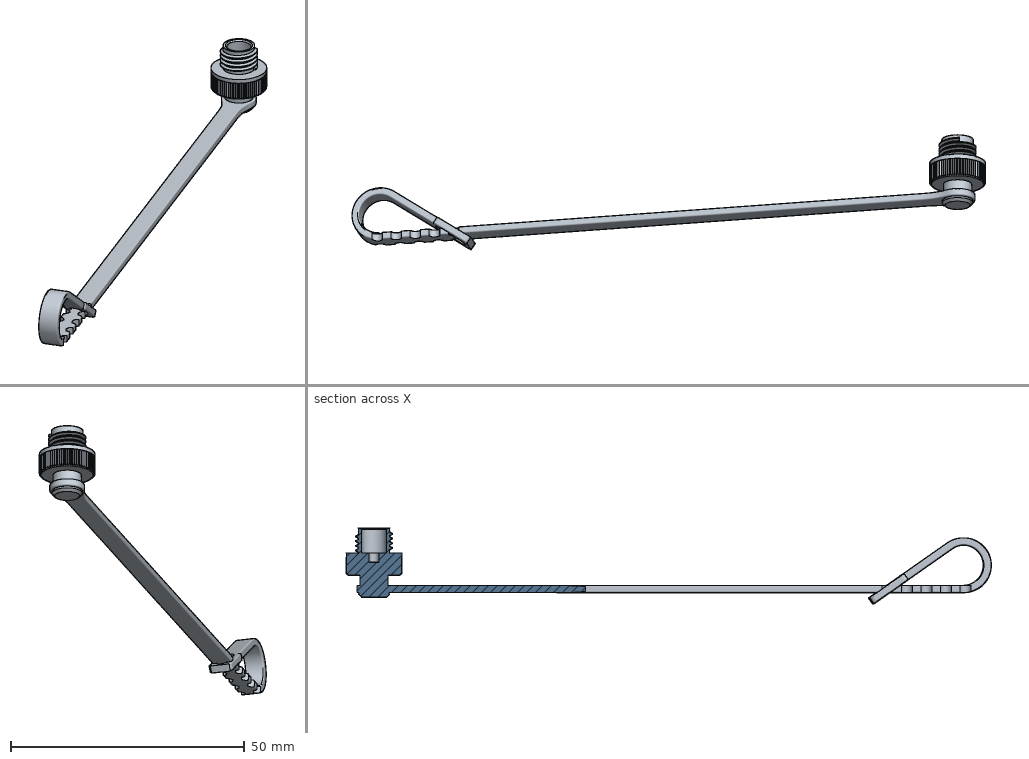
import cadquery as cq
import math

strap_thickness = 1.6
plug_top = 13.86
flange_top = 8.55
flange_bottom = 3.75
button_bottom = -1.0

flange_radius = 6.0
flange_rim_height = 0.95
flange_chamfer = 0.4
knurl_count = 72
knurl_depth = 0.25

thread_radius = 4.0
thread_root_radius = 3.4
thread_pitch = 1.0
thread_crest_width = 0.15
thread_root_width = 0.9
thread_embed = 0.1
thread_start = 0.3
thread_lead_in = 0.95

bore_radius = 2.6
bore_chamfer = 0.3
bore_floor = flange_top
pilot_radius = 1.0
pilot_depth = 2.0

neck_radius = 3.05
button_radius = 3.3
button_chamfer = 0.6

strap_width = 4.3
strap_angle = 2.795
strap_edge_radius = 0.3
ring_radius = 3.75
ring_blend_radius = 12.0
strap_reach = 132.46
loop_outer_radius = 5.9
loop_inner_radius = loop_outer_radius - strap_thickness
loop_center_y = loop_outer_radius - strap_reach
tail_slope = 35.0
tail_length = 20.7

notch_radius = 1.15
notch_count = 5
notch_pitch = 4.2
first_notch_y = -110.1
notch_half_height = strap_thickness

head_width = 5.2
head_length = 9.3
head_corner_radius = 1.0
slot_width = 2.2
slot_length = 8.0
slot_tip_margin = 1.0


def cylinder(radius, bottom, top):
    return cq.Workplane("XY").workplane(offset=bottom).circle(radius).extrude(top - bottom)


def knurled_flange():
    knurl_top = flange_top - flange_rim_height
    outline = []
    for i in range(2 * knurl_count):
        angle = math.pi * i / knurl_count
        radius = flange_radius - knurl_depth * (i % 2)
        outline.append((radius * math.cos(angle), radius * math.sin(angle)))
    knurl = (
        cq.Workplane("XY")
        .workplane(offset=flange_bottom)
        .polyline(outline)
        .close()
        .extrude(knurl_top - flange_bottom)
    )
    envelope = cylinder(flange_radius, flange_bottom, knurl_top).faces("<Z").chamfer(flange_chamfer)
    return knurl.intersect(envelope).union(cylinder(flange_radius, knurl_top, flange_top))


def threaded_stem():
    helix_bottom = flange_top + thread_start
    helix_height = plug_top - thread_lead_in - helix_bottom
    helix = cq.Wire.makeHelix(thread_pitch, helix_height, thread_root_radius)
    base_radius = thread_root_radius - thread_embed
    ridge = (
        cq.Workplane("XZ")
        .moveTo(base_radius, -thread_root_width / 2)
        .lineTo(thread_radius, -thread_crest_width / 2)
        .lineTo(thread_radius, thread_crest_width / 2)
        .lineTo(base_radius, thread_root_width / 2)
        .close()
        .sweep(cq.Workplane(obj=helix), isFrenet=True)
        .translate((0, 0, helix_bottom))
    )
    return cylinder(thread_root_radius, flange_top, plug_top).union(ridge)


def bore():
    mouth_radius = bore_radius + bore_chamfer
    countersink = cq.Workplane(
        obj=cq.Solid.makeCone(
            bore_radius,
            mouth_radius,
            bore_chamfer,
            cq.Vector(0, 0, plug_top - bore_chamfer),
        )
    )
    pilot = cylinder(pilot_radius, bore_floor - pilot_depth, bore_floor)
    return cylinder(bore_radius, bore_floor, plug_top).union(countersink).union(pilot)


def plug():
    button = cylinder(button_radius, button_bottom, 0).faces("<Z").chamfer(button_chamfer)
    neck = cylinder(neck_radius, 0, flange_bottom)
    return knurled_flange().union(threaded_stem()).union(neck).union(button).cut(bore())


def straight_band():
    band = (
        cq.Workplane("XY")
        .box(strap_width, -loop_center_y, strap_thickness, centered=(True, False, False))
        .translate((0, loop_center_y, 0))
    )
    around_ring = cq.selectors.BoxSelector(
        (-ring_radius, -ring_radius, 0),
        (ring_radius, 0, strap_thickness),
    )
    outline = cylinder(ring_radius, 0, strap_thickness).union(band)
    blended = outline.edges("|Z").edges(around_ring).fillet(ring_blend_radius)
    return blended.faces("|Z").edges("not <Y").fillet(strap_edge_radius)


def loop_point(radius, angle):
    """Point in the YZ plane on a circle about the loop centre."""
    turn = math.radians(angle)
    return (loop_center_y + radius * math.cos(turn), loop_outer_radius + radius * math.sin(turn))


def tail_point(radius, distance):
    """Point in the YZ plane on a tail face, measured from where the tail leaves the loop."""
    y, z = loop_point(radius, 90 - tail_slope)
    slope = math.radians(tail_slope)
    return (y + distance * math.cos(slope), z - distance * math.sin(slope))


def loop_band():
    band = (
        cq.Workplane("YZ")
        .moveTo(*loop_point(loop_outer_radius, -90))
        .threePointArc(loop_point(loop_outer_radius, 180), tail_point(loop_outer_radius, 0))
        .lineTo(*tail_point(loop_outer_radius, tail_length))
        .lineTo(*tail_point(loop_inner_radius, tail_length))
        .lineTo(*tail_point(loop_inner_radius, 0))
        .threePointArc(loop_point(loop_inner_radius, 180), loop_point(loop_inner_radius, -90))
        .close()
        .extrude(strap_width / 2, both=True)
    )
    start_edges = cq.selectors.BoxSelector(
        (-strap_width, loop_center_y - strap_edge_radius, -strap_thickness),
        (strap_width, loop_center_y + strap_edge_radius, 2 * strap_thickness),
    )
    side_edges = band.faces("<X or >X").edges()
    return side_edges.edges(cq.selectors.InverseSelector(start_edges)).fillet(strap_edge_radius)


def place_on_tail(shape, distance):
    """Lay a shape on the inner face of the tail, its +Y pointing to the tip."""
    y, z = tail_point(loop_inner_radius, distance)
    return shape.rotate((0, 0, 0), (1, 0, 0), -tail_slope).translate((0, y, z))


def head():
    plate = (
        cq.Workplane("XY")
        .box(head_width, head_length, strap_thickness, centered=(True, False, False))
        .edges("|Z")
        .fillet(head_corner_radius)
        .faces("|Z")
        .edges()
        .fillet(strap_edge_radius)
    )
    return place_on_tail(plate, tail_length - head_length)


def slot():
    cutter = (
        cq.Workplane("XY")
        .center(0, slot_length / 2)
        .slot2D(slot_length, slot_width, 90)
        .extrude(strap_thickness)
    )
    return place_on_tail(cutter, tail_length - slot_tip_margin - slot_length)


def notches():
    centers = []
    for i in range(notch_count):
        for side in (-1, 1):
            centers.append((side * strap_width / 2, first_notch_y - i * notch_pitch))
    return (
        cq.Workplane("XY")
        .pushPoints(centers)
        .circle(notch_radius)
        .extrude(notch_half_height, both=True)
    )


def strap():
    latch = loop_band().cut(notches())
    tail = latch.union(head()).cut(slot())
    band = straight_band().cut(notches())
    return band.union(tail).rotate((0, 0, 0), (0, 0, 1), strap_angle)


result = plug().union(strap())